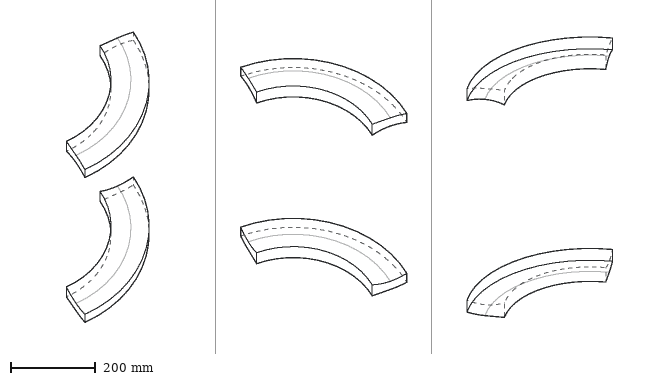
import cadquery as cq
import math

inner_radius = 205.0
outer_radius = 295.0
crown_radius = 252.0
outer_height = 310.0
inner_wall_height = 40.0
crown_thickness = 30.0
shoulder_drop = 5.3
groove_outer_drop = 7.8
sweep_angle = 90.0

inner_edge = outer_height - inner_wall_height
groove_crown = outer_height - crown_thickness
groove_outer_edge = groove_crown - groove_outer_drop
shoulder_edge = outer_height - shoulder_drop


def groove_arc_middle(edge_radius, edge_height):
    """Point halfway along the arc that leaves the crown level and ends at the given edge."""
    reach = edge_radius - crown_radius
    drop = groove_crown - edge_height
    arc_radius = (reach**2 + drop**2) / (2 * drop)
    half_angle = math.asin(reach / arc_radius) / 2
    return (
        crown_radius + arc_radius * math.sin(half_angle),
        groove_crown - arc_radius * (1 - math.cos(half_angle)),
    )


def make_upper_segment():
    """Quarter ring with a flat top, a rounded outer shoulder and a concave groove underneath."""
    section = (
        cq.Workplane("XZ")
        .moveTo(inner_radius, inner_edge)
        .lineTo(inner_radius, outer_height)
        .lineTo(crown_radius, outer_height)
        .tangentArcPoint((outer_radius, shoulder_edge), relative=False)
        .lineTo(outer_radius, groove_outer_edge)
        .threePointArc(
            groove_arc_middle(outer_radius, groove_outer_edge),
            (crown_radius, groove_crown),
        )
        .threePointArc(
            groove_arc_middle(inner_radius, inner_edge),
            (inner_radius, inner_edge),
        )
        .close()
    )
    return section.revolve(sweep_angle, (0, 0, 0), (0, 1, 0))


upper_segment = make_upper_segment()
lower_segment = upper_segment.mirror("XY")

result = cq.Compound.makeCompound([upper_segment.val(), lower_segment.val()])